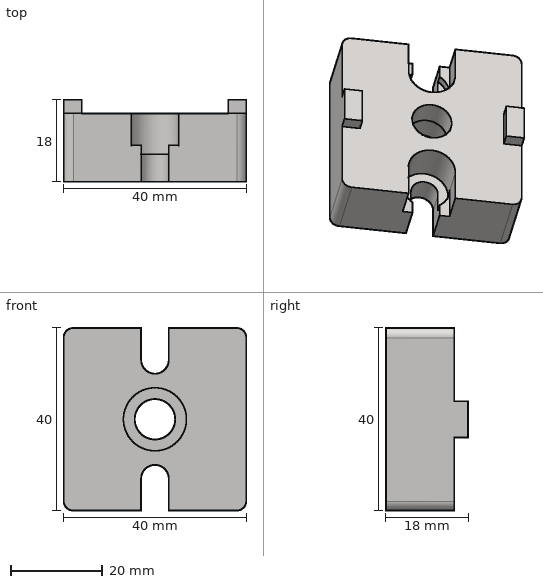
import cadquery as cq

side = 40.0
body_depth = 15.0
corner_radius = 2.1

tab_width = 4.0
tab_height = 8.0
tab_depth = 3.0

bore_diameter = 8.8
counterbore_diameter = 13.8
counterbore_depth = 9.0

slot_width = 6.0
slot_length = 10.0
wide_slot_width = 10.4
wide_slot_depth = 7.0
head_recess_depth = 9.0

front_y = -(body_depth + tab_depth) / 2
rear_y = front_y + body_depth
slot_end_z = side / 2 - slot_length + slot_width / 2


def cylinder_along_y(diameter, start_y, length, center_z=0):
    plane = cq.Plane(origin=(0, start_y, center_z), xDir=(1, 0, 0), normal=(0, 1, 0))
    return cq.Workplane(plane).circle(diameter / 2).extrude(length)


def open_slot(width, start_y, length):
    """Slot with a round inner end, open through the top face."""
    straight = side / 2 - slot_end_z
    channel = cq.Workplane("XY").box(width, length, straight, centered=(True, False, False))
    channel = channel.translate((0, start_y, slot_end_z))
    return channel.union(cylinder_along_y(width, start_y, length, slot_end_z))


body = cq.Workplane("XY").box(side, body_depth, side).edges("|Y").fillet(corner_radius)
result = body.translate((0, front_y + body_depth / 2, 0))

for direction in (-1, 1):
    tab = cq.Workplane("XY").box(tab_width, tab_depth, tab_height)
    tab_x = direction * (side - tab_width) / 2
    result = result.union(tab.translate((tab_x, rear_y + tab_depth / 2, 0)))

result = result.cut(cylinder_along_y(bore_diameter, front_y, body_depth))
result = result.cut(cylinder_along_y(counterbore_diameter, front_y, counterbore_depth))

slot = open_slot(slot_width, front_y, body_depth)
slot = slot.union(open_slot(wide_slot_width, rear_y - wide_slot_depth, wide_slot_depth))
head_recess = cylinder_along_y(wide_slot_width, rear_y - head_recess_depth, head_recess_depth, slot_end_z)
slot = slot.union(head_recess)
for angle in (0, 180):
    result = result.cut(slot.rotate((0, 0, 0), (0, 1, 0), angle))